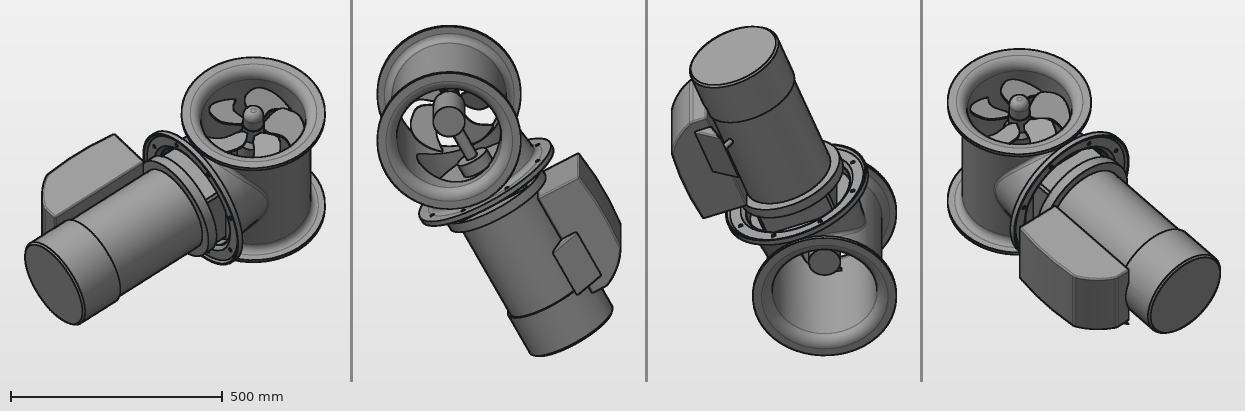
import cadquery as cq

tunnel_height = 350.0
bore_radius = 124.0
tunnel_wall = 12.0
tunnel_outer_radius = bore_radius + tunnel_wall
flange_radius = 170.0
flange_thickness = 8.5
mouth_round = 26.0
flare_round = 18.0

branch_flange_radius = 177.5
branch_flange_thickness = 13.0
branch_face_y = -191.0
branch_flange_back_y = branch_face_y + branch_flange_thickness
branch_end_radius = 137.0
branch_slope = 0.13
branch_flare = 15.5
branch_wall = 8.5
tee_fillet = 9.0

recess_depth = 5.0
recess_rim_radius = 174.0
recess_floor_radius = 168.0
opening_rim_radius = 142.0
opening_radius = 132.0
bolt_count = 8
bolt_circle_radius = 153.0
bolt_hole_radius = 5.0

motor_z = 5.0
overall_length = 778.0
motor_end_y = flange_radius - overall_length
gearbox_width = 180.5
gearbox_chamfer = 6.0
motor_flange_y = -217.0
motor_flange_thickness = 25.0
motor_flange_radius = 129.0
motor_radius = 107.0
cowl_y = -496.5
cowl_radius = 112.0
cowl_chamfer = 5.0

terminal_outer_x = -220.0
terminal_inner_x = -100.5
terminal_height = 177.0
terminal_front_y = -523.0
terminal_back_y = -250.5
terminal_round = 4.0
lid_back_x = -212.0
lid_middle_y = -354.0
lid_front_x = -215.0
lid_front_y = -454.5
slant_middle = (-182.0, -496.0)
slant_end_x = -140.0
slant_round = 22.0

cable_box_back_y = -369.0
cable_box_front_y = -494.0
cable_box_tip = (-76.0, -141.0)
cable_box_top_z = -82.5
cable_box_left_x = -143.0
cable_box_right_x = -99.0
cable_box_round = 4.0
cable_stub_radius = 7.0
cable_stub_reach = 140.0

plug_front_y = -157.0
plug_thickness = 12.0
boss_radius = 39.0
boss_end_y = -114.0
leg_radius = 14.0
pod_radius = 37.0
pod_bottom_z = -33.0
pod_shoulder_z = 82.0

hub_radius = 26.0
nose_radius = 24.0
hub_top_z = 184.0
hub_joint_z = 136.0
nose_tip_radius = 6.0
blade_count = 5
blade_pitch = 23
blade_thickness = 5.0
blade_z = 120.0
blade_prism_height = 156.0
blade_root_distance = 15.5
concave_edge = [(-15.0, -36.0), (-19.0, -54.0), (-26.0, -70.0), (-44.0, -84.0), (-64.0, -92.0)]
blade_tip = (-68.0, -94.0)
convex_edge = [
    (-65.0, -97.0), (-49.0, -108.0), (-29.5, -117.0), (3.0, -119.0), (19.5, -111.0),
    (35.0, -87.0), (39.0, -68.0), (32.0, -50.5), (15.0, -31.0),
]


def cylinder_y(radius, start_y, end_y, z=0.0):
    """Solid cylinder along Y between two Y positions."""
    return (
        cq.Workplane("XZ", origin=(0, start_y, z))
        .circle(radius)
        .extrude(start_y - end_y)
    )


def cylinder_z(radius, start_z, end_z):
    """Solid cylinder on the tunnel axis between two Z positions."""
    return cq.Workplane("XY", origin=(0, 0, start_z)).circle(radius).extrude(end_z - start_z)


def cone_y(radius_1, start_y, radius_2, end_y):
    """Solid frustum about the Y axis."""
    return (
        cq.Workplane("XY")
        .polyline([(0, start_y), (radius_1, start_y), (radius_2, end_y), (0, end_y)])
        .close()
        .revolve(360, (0, 0), (0, 1))
    )


def branch_cone(offset):
    """Branch cone from the tunnel axis to the branch flange, shrunk by an offset."""
    flare_y = branch_flange_back_y + branch_flare
    tunnel_end_radius = branch_end_radius + branch_slope * flare_y
    flange_end_radius = branch_end_radius + branch_slope * branch_flare
    return cone_y(tunnel_end_radius - offset, 0, flange_end_radius - offset, branch_flange_back_y)


def tunnel_tube():
    """Tunnel pipe without its flares, still filled."""
    return cylinder_z(tunnel_outer_radius, -tunnel_height / 2, tunnel_height / 2)


def tunnel_flange():
    """Upper tunnel flange with the concave flare below it, still filled."""
    top = tunnel_height / 2
    underside = top - flange_thickness
    flare_bottom = underside - flare_round
    flare_radius = tunnel_outer_radius + flare_round
    return (
        cq.Workplane("XZ")
        .moveTo(0, flare_bottom)
        .lineTo(tunnel_outer_radius, flare_bottom)
        .radiusArc((flare_radius, underside), flare_round)
        .lineTo(flange_radius, underside)
        .lineTo(flange_radius, top)
        .lineTo(0, top)
        .close()
        .revolve(360, (0, 0), (0, 1))
    )


def tunnel_bore():
    """Bore with both mouths rounded outward."""
    top = tunnel_height / 2
    mouth_radius = bore_radius + mouth_round
    mouth_z = top - mouth_round
    return (
        cq.Workplane("XZ")
        .moveTo(0, -top)
        .lineTo(mouth_radius, -top)
        .radiusArc((bore_radius, -mouth_z), mouth_round)
        .lineTo(bore_radius, mouth_z)
        .radiusArc((mouth_radius, top), mouth_round)
        .lineTo(0, top)
        .close()
        .revolve(360, (0, 0), (0, 1))
    )


def branch_flange():
    """Branch flange with the concave flare behind it, still filled."""
    flare_start_y = branch_flange_back_y + branch_flare
    flare_end_radius = branch_end_radius + branch_flare
    return (
        cq.Workplane("XY")
        .moveTo(0, flare_start_y)
        .lineTo(branch_end_radius, flare_start_y)
        .radiusArc((flare_end_radius, branch_flange_back_y), -branch_flare)
        .lineTo(branch_flange_radius, branch_flange_back_y)
        .lineTo(branch_flange_radius, branch_face_y)
        .lineTo(0, branch_face_y)
        .close()
        .revolve(360, (0, 0), (0, 1))
    )


def branch_openings():
    """Bevelled recess and bevelled opening in the branch flange."""
    floor_y = branch_face_y + recess_depth
    recess = cone_y(recess_rim_radius, branch_face_y, recess_floor_radius, floor_y)
    bevel = cone_y(opening_rim_radius, floor_y, opening_radius, branch_flange_back_y)
    return recess.union(bevel)


def bolt_holes():
    """Ring of through holes in the branch flange."""
    return (
        cq.Workplane("XZ", origin=(0, branch_flange_back_y, 0))
        .polarArray(bolt_circle_radius, 180 / bolt_count, 360, bolt_count)
        .circle(bolt_hole_radius)
        .extrude(branch_flange_thickness)
    )


def tee_seam_selector():
    """Picks the edges where the branch cone leaves the tunnel tube."""
    reach = tunnel_outer_radius + tee_fillet
    return cq.selectors.BoxSelector((-reach, -reach, -reach), (reach, 0, reach), boundingbox=True)


def make_housing():
    """Tunnel, branch and their flanges as one hollow body."""
    flange = tunnel_flange()
    tee = tunnel_tube().union(branch_cone(0))
    tee = tee.edges(tee_seam_selector()).fillet(tee_fillet)
    outer = tee.union(flange).union(flange.mirror("XY")).union(branch_flange())
    return (
        outer.cut(tunnel_bore())
        .cut(branch_cone(branch_wall))
        .cut(branch_openings())
        .cut(bolt_holes())
    )


def motor():
    """Square gearbox neck, round flange, barrel and chamfered cowl."""
    neck = (
        cq.Workplane("XZ", origin=(0, plug_front_y, motor_z))
        .rect(gearbox_width, gearbox_width)
        .extrude(plug_front_y - motor_flange_y)
        .edges("|Y")
        .chamfer(gearbox_chamfer)
    )
    barrel_start_y = motor_flange_y - motor_flange_thickness
    flange = cylinder_y(motor_flange_radius, motor_flange_y, barrel_start_y, motor_z)
    barrel = cylinder_y(motor_radius, barrel_start_y, cowl_y, motor_z)
    cowl = cylinder_y(cowl_radius, cowl_y, motor_end_y, motor_z).faces("<Y").chamfer(cowl_chamfer)
    return neck.union(flange).union(barrel).union(cowl)


def terminal_box():
    """Box on the -X side with a bowed lid and a slanted, bowed end toward -Y."""
    slant_ends = cq.selectors.BoxSelector(
        (terminal_outer_x, terminal_front_y - 8, motor_z - 8),
        (slant_end_x + 8, lid_front_y + 8, motor_z + 8),
    )
    return (
        cq.Workplane("XY", origin=(0, 0, motor_z - terminal_height / 2))
        .moveTo(terminal_inner_x, terminal_back_y)
        .lineTo(lid_back_x, terminal_back_y)
        .threePointArc((terminal_outer_x, lid_middle_y), (lid_front_x, lid_front_y))
        .threePointArc(slant_middle, (slant_end_x, terminal_front_y))
        .lineTo(terminal_inner_x, terminal_front_y)
        .close()
        .extrude(terminal_height)
        .edges(slant_ends)
        .fillet(slant_round)
        .edges()
        .fillet(terminal_round)
    )


def cable_box():
    """Wedge-shaped box under the terminal box, tied to the motor by a round stub."""
    left_corner = (cable_box_left_x, cable_box_top_z)
    right_corner = (cable_box_right_x, cable_box_top_z)
    wedge = (
        cq.Workplane("XZ", origin=(0, cable_box_back_y, 0))
        .polyline([left_corner, right_corner, cable_box_tip])
        .close()
        .extrude(cable_box_back_y - cable_box_front_y)
    )
    wedge = wedge.faces("<Y or >Y").edges("not >Z").fillet(cable_box_round)
    middle_y = (cable_box_back_y + cable_box_front_y) / 2
    stub_plane = cq.Plane(origin=(0, middle_y, 0), xDir=(0, 1, 0), normal=(-1, 0, -1))
    stub = cq.Workplane(stub_plane).circle(cable_stub_radius).extrude(cable_stub_reach)
    return wedge.union(stub)


def gear_leg():
    """Plug closing the branch, boss, horizontal leg and upright gear pod."""
    plug_back_y = plug_front_y + plug_thickness
    plug_slab = cylinder_y(branch_flange_radius, plug_back_y, plug_front_y)
    plug = branch_cone(branch_wall).intersect(plug_slab)
    boss = cylinder_y(boss_radius, boss_end_y, plug_back_y, motor_z)
    leg = cylinder_y(leg_radius, 0, plug_back_y, motor_z)
    pod = cylinder_z(pod_radius, pod_bottom_z, pod_shoulder_z)
    cone_height = pod_radius - hub_radius
    cone_base = cq.Vector(0, 0, pod_shoulder_z)
    cone = cq.Workplane(cq.Solid.makeCone(pod_radius, hub_radius, cone_height, cone_base))
    return plug.union(boss).union(leg).union(pod).union(cone)


def hub():
    """Propeller hub with a narrower, domed nose that ends in a small flat."""
    base = cylinder_z(hub_radius, pod_shoulder_z, hub_joint_z)
    dome_round = nose_radius - nose_tip_radius
    nose = cylinder_z(nose_radius, hub_joint_z, hub_top_z).faces(">Z").edges().fillet(dome_round)
    return base.union(nose)


def blade():
    """Swept blade pointing to -Y: its outline cut from a flat plate pitched about the Y axis."""
    outline = (
        cq.Workplane("XY", origin=(0, 0, blade_z - blade_prism_height / 2))
        .moveTo(0, -blade_root_distance)
        .lineTo(*concave_edge[0])
        .spline(concave_edge)
        .threePointArc(blade_tip, convex_edge[0])
        .spline(convex_edge)
        .close()
        .extrude(blade_prism_height)
    )
    plate_width = 4 * bore_radius
    plate = (
        cq.Workplane("XY")
        .box(plate_width, plate_width, blade_thickness)
        .rotate((0, 0, 0), (0, 1, 0), -blade_pitch)
        .translate((0, 0, blade_z))
    )
    return outline.intersect(plate)


def make_drive_unit():
    """Motor, boxes, gear leg and propeller as one body."""
    drive = motor().union(terminal_box()).union(cable_box()).union(gear_leg()).union(hub())
    for number in range(blade_count):
        drive = drive.union(blade().rotate((0, 0, 0), (0, 0, 1), number * 360 / blade_count))
    return drive


housing = make_housing()
drive_unit = make_drive_unit()
result = cq.Compound.makeCompound([housing.solids().val(), drive_unit.solids().val()])